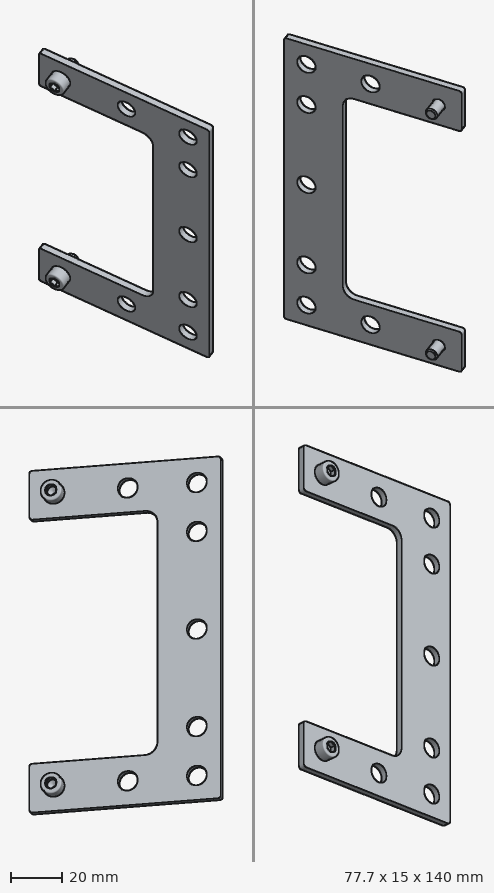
import cadquery as cq
import math

PLATE_WIDTH = 77.7
PLATE_HEIGHT = 140.0
PLATE_THICKNESS = 3.0
ARM_HEIGHT = 20.0
SPINE_INNER_X = 52.0
OPENING_RADIUS = 5.0
CORNER_RADIUS = 1.3

HOLE_DIAMETER = 8.0
SCREW_HOLE_DIAMETER = 5.5
EDGE_DISTANCE = ARM_HEIGHT / 2
ARM_HOLE_X = 39.9
SPINE_HOLE_X = 67.9
SPINE_HOLE_PITCH = ARM_HEIGHT

SCREW_X = 10.1
SHANK_DIAMETER = 5.0
SHANK_LENGTH = 10.0
SHANK_CHAMFER = 0.5
HEAD_DIAMETER = 8.5
HEAD_HEIGHT = 5.0
HEAD_FILLET = 0.5
SOCKET_ACROSS_FLATS = 4.0
SOCKET_DEPTH = 2.5
SOCKET_TIP_ANGLE = 120.0

LOWER_ROW_Z = EDGE_DISTANCE
UPPER_ROW_Z = PLATE_HEIGHT - EDGE_DISTANCE
ROWS_Z = [LOWER_ROW_Z, UPPER_ROW_Z]
SPINE_HOLES_Z = [
    LOWER_ROW_Z,
    LOWER_ROW_Z + SPINE_HOLE_PITCH,
    PLATE_HEIGHT / 2,
    UPPER_ROW_Z - SPINE_HOLE_PITCH,
    UPPER_ROW_Z,
]


def cylinder_along_y(x, z, diameter, start_y, length):
    """Cylinder from start_y toward +Y."""
    axis_start = cq.Vector(x, start_y, z)
    solid = cq.Solid.makeCylinder(diameter / 2, length, axis_start, cq.Vector(0, 1, 0))
    return cq.Workplane(obj=solid)


def make_plate():
    """C-shaped plate with rounded corners and all its through holes."""
    blank = (
        cq.Workplane("XY")
        .box(PLATE_WIDTH, PLATE_THICKNESS, PLATE_HEIGHT, centered=False)
    )
    opening = (
        cq.Workplane("XY")
        .box(SPINE_INNER_X, PLATE_THICKNESS, PLATE_HEIGHT - 2 * ARM_HEIGHT, centered=False)
        .translate((0, 0, ARM_HEIGHT))
        .edges("|Y and >X")
        .fillet(OPENING_RADIUS)
    )
    plate = blank.cut(opening)
    plate = plate.edges("|Y and (<X or >X)").fillet(CORNER_RADIUS)

    hole_places = [(ARM_HOLE_X, z) for z in ROWS_Z] + [(SPINE_HOLE_X, z) for z in SPINE_HOLES_Z]
    for x, z in hole_places:
        plate = plate.cut(cylinder_along_y(x, z, HOLE_DIAMETER, 0, PLATE_THICKNESS))
    for z in ROWS_Z:
        plate = plate.cut(cylinder_along_y(SCREW_X, z, SCREW_HOLE_DIAMETER, 0, PLATE_THICKNESS))
    return plate


def make_socket(x, z):
    """Hexagonal socket with a countersunk mouth and a conical bottom, sunk into the head from its front."""
    across_corners = SOCKET_ACROSS_FLATS / math.cos(math.radians(30))
    hexagon = (
        cq.Workplane("XZ", origin=(x, -HEAD_HEIGHT, z))
        .transformed(rotate=(0, 0, 90))
        .polygon(6, across_corners)
        .extrude(-SOCKET_DEPTH)
    )
    cone_radius = SOCKET_ACROSS_FLATS / 2
    cone_height = cone_radius / math.tan(math.radians(SOCKET_TIP_ANGLE / 2))
    cone_base = cq.Vector(x, SOCKET_DEPTH - HEAD_HEIGHT, z)
    cone = cq.Solid.makeCone(cone_radius, 0, cone_height, cone_base, cq.Vector(0, 1, 0))
    mouth_radius = across_corners / 2
    mouth_depth = mouth_radius - cone_radius
    mouth_base = cq.Vector(x, -HEAD_HEIGHT, z)
    mouth = cq.Solid.makeCone(mouth_radius, cone_radius, mouth_depth, mouth_base, cq.Vector(0, 1, 0))
    return hexagon.union(cq.Workplane(obj=cone)).union(cq.Workplane(obj=mouth))


def make_screw(x, z):
    """Cap screw along Y, with the underside of its head at Y = 0."""
    head = cylinder_along_y(x, z, HEAD_DIAMETER, -HEAD_HEIGHT, HEAD_HEIGHT)
    head = head.faces("<Y").edges().fillet(HEAD_FILLET)
    shank = cylinder_along_y(x, z, SHANK_DIAMETER, 0, SHANK_LENGTH)
    shank = shank.faces(">Y").edges().chamfer(SHANK_CHAMFER)
    return head.union(shank).cut(make_socket(x, z))


plate = make_plate()
screws = [make_screw(SCREW_X, z) for z in ROWS_Z]

result = cq.Compound.makeCompound([plate.val(), *[screw.val() for screw in screws]])